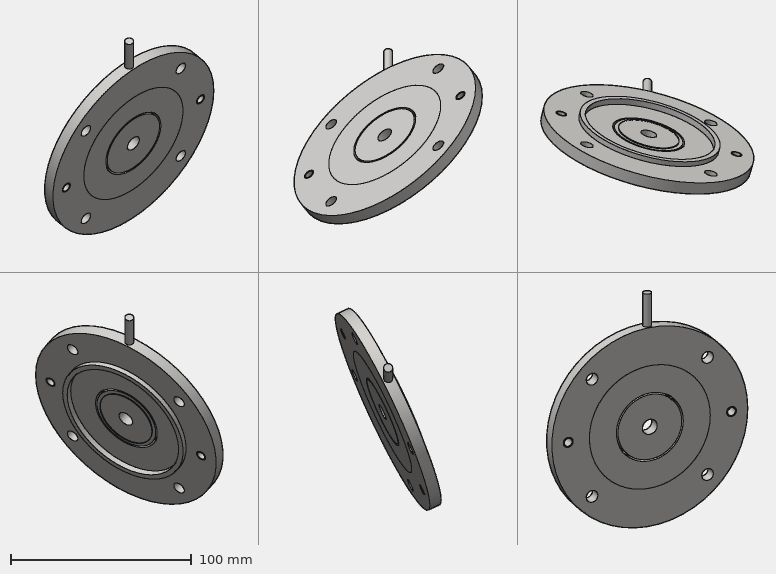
import cadquery as cq
import math

total_thickness = 10.0
rim_height = 3.0
flange_thickness = total_thickness - rim_height

flange_diameter = 120.0
rim_diameter = 80.0
bore_diameter = 74.0

pitch_diameter = 100.0
pitch_radius = pitch_diameter / 2
bolt_hole_diameter = 7.0
bolt_hole_count = 4
first_bolt_angle = 45.0
bushing_diameter = 6.0
bushing_bore = 4.8
bushing_count = 2

cover_recess = 3.5
cover_bore = 41.0

hub_diameter = 39.0
hub_recess = cover_recess
hub_boss_diameter = 34.5
hub_boss_height = 0.5
hub_bore = 9.0

cable_diameter = 5.0
overall_height = 139.9
cable_length = overall_height - flange_diameter


def disc(diameter, start, end):
    """Solid disc about the X axis between two axial stations."""
    return cq.Workplane("YZ", origin=(start, 0, 0)).circle(diameter / 2).extrude(end - start)


def ring(outer_diameter, inner_diameter, start, end):
    """Plain ring about the X axis between two axial stations."""
    return disc(outer_diameter, start, end).cut(disc(inner_diameter, start, end))


def pitch_points(count, first_angle):
    """Evenly spaced (Y, Z) points on the pitch circle."""
    angles = [math.radians(first_angle + i * 360.0 / count) for i in range(count)]
    return [(pitch_radius * math.cos(a), pitch_radius * math.sin(a)) for a in angles]


def make_cable():
    center_x = rim_height + flange_thickness / 2
    base = cq.Workplane("XY", origin=(center_x, 0, flange_diameter / 2))
    return base.circle(cable_diameter / 2).extrude(cable_length)


def make_flange():
    body = disc(flange_diameter, rim_height, total_thickness)
    body = body.union(disc(rim_diameter, 0, total_thickness))
    body = body.cut(disc(bore_diameter, 0, total_thickness))
    for y, z in pitch_points(bolt_hole_count, first_bolt_angle):
        body = body.cut(disc(bolt_hole_diameter, rim_height, total_thickness).translate((0, y, z)))
    for y, z in pitch_points(bushing_count, 0):
        body = body.cut(disc(bushing_diameter, rim_height, total_thickness).translate((0, y, z)))
    return body


def make_cover():
    return ring(bore_diameter, cover_bore, cover_recess, total_thickness)


def make_hub():
    body = disc(hub_diameter, hub_recess, total_thickness)
    body = body.union(disc(hub_boss_diameter, hub_recess - hub_boss_height, total_thickness))
    return body.cut(disc(hub_bore, 0, total_thickness))


def make_bushing(y, z):
    return ring(bushing_diameter, bushing_bore, rim_height, total_thickness).translate((0, y, z))


cable = make_cable()
flange = make_flange()
cover = make_cover()
hub = make_hub()
bushings = [make_bushing(y, z) for y, z in pitch_points(bushing_count, 0)]

result = cq.Compound.makeCompound(
    [flange.val(), cover.val(), hub.val(), cable.val(), *[b.val() for b in bushings]]
)